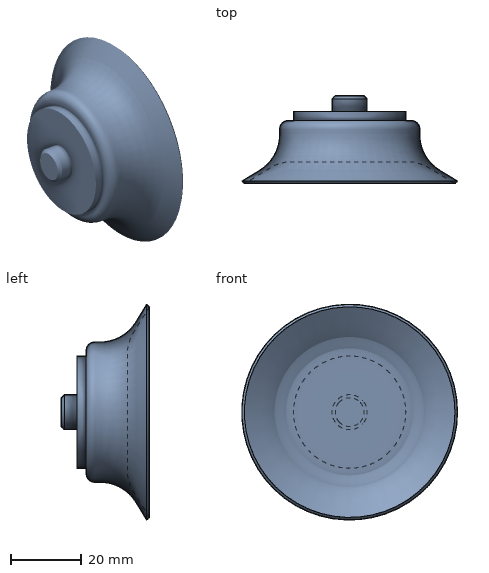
import cadquery as cq


rim_diameter = 61.5
cap_diameter = 40.0
boss_diameter = 32.0
pin_diameter = 10.0
lip_diameter = 51.1
floor_edge_diameter = 42.7
floor_diameter = 36.2

rim_bevel = 0.75
lip_top = 3.9
skirt_top = 14.1
cap_top = 18.0
boss_top = 20.6
pin_top = 25.1
floor_edge_depth = 5.3
floor_depth = 6.2

cap_fillet = 2.5
pin_chamfer = 0.9

skirt_middle_point = (21.4, 8.35)


def make_cup():
    """Revolve the flared cup with its rounded cap and conical recess."""
    rim_radius = rim_diameter / 2
    cap_radius = cap_diameter / 2
    profile = (
        cq.Workplane("XY")
        .moveTo(0, floor_depth)
        .lineTo(floor_diameter / 2, floor_depth)
        .lineTo(floor_edge_diameter / 2, floor_edge_depth)
        .lineTo(rim_radius - rim_bevel, 0)
        .lineTo(rim_radius, rim_bevel)
        .lineTo(lip_diameter / 2, lip_top)
        .threePointArc(skirt_middle_point, (cap_radius, skirt_top))
        .lineTo(cap_radius, cap_top - cap_fillet)
        .radiusArc((cap_radius - cap_fillet, cap_top), -cap_fillet)
        .lineTo(0, cap_top)
        .close()
    )
    return profile.revolve(360, (0, 0, 0), (0, 1, 0))


def make_disc(diameter, bottom, top):
    """Make a round disc about Y between two heights."""
    return cq.Workplane("XZ", origin=(0, bottom, 0)).circle(diameter / 2).extrude(bottom - top)


cup = make_cup()
boss = make_disc(boss_diameter, cap_top, boss_top)
pin = make_disc(pin_diameter, boss_top, pin_top).faces(">Y").chamfer(pin_chamfer)

result = cup.union(boss).union(pin)